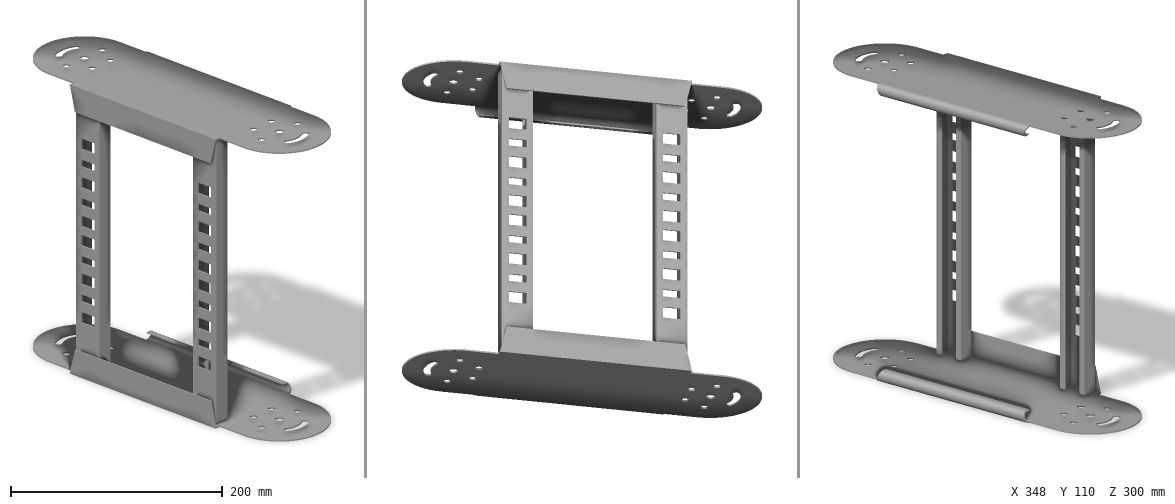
import cadquery as cq
import math

OVERALL_LENGTH = 348.0
OVERALL_HEIGHT = 300.0
SHEET = 1.5

PLATE_WIDTH = 98.0
FLANGE_REACH = 6.0
FLANGE_HEIGHT = 26.8
FLANGE_HALF_ROOT = 93.5
FLANGE_HALF_TIP = 87.0
HOOK_RADIUS = 6.0
HOOK_TAIL = 3.5
HOOK_HALF_ROOT = 92.0
HOOK_HALF_TIP = 87.0

PATTERN_X = 125.3
PATTERN_RADIUS = 25.0
PATTERN_ANGLE = 30.0
CENTRE_HOLE_DIAMETER = 8.5
SMALL_HOLE_DIAMETER = 7.0
ARC_SLOT_WIDTH = 7.0

POST_X = 75.0
POST_WIDTH = 30.3
POST_DEPTH = 15.5
POST_LIP = 6.3
POST_FRONT_Y = -50.0
POST_END_GAP = 3.5

WINDOW_COUNT = 10
WINDOW_SPAN = 180.0
WINDOW_WIDTH = 17.0
TALL_WINDOW = 11.0
SHORT_WINDOW = 7.3
WINDOW_SHIFT = 0.5

TOP_Z = OVERALL_HEIGHT / 2
EDGE_Y = PLATE_WIDTH / 2
FLANGE_Y = -EDGE_Y - FLANGE_REACH
POST_HEIGHT = OVERALL_HEIGHT - 2 * POST_END_GAP
WINDOW_PITCH = WINDOW_SPAN / (WINDOW_COUNT - 1)


def flat_plate():
    """Plate with rounded ends and a straight tab that carries the flange."""
    base = cq.Workplane("XY", origin=(0, 0, TOP_Z - SHEET))
    plate = base.slot2D(OVERALL_LENGTH, PLATE_WIDTH).extrude(SHEET)
    tab = cq.Workplane("XY").box(2 * FLANGE_HALF_ROOT, -FLANGE_Y, SHEET, centered=(True, False, False))
    return plate.union(tab.translate((0, FLANGE_Y, TOP_Z - SHEET)))


def flange():
    """Trapezoidal flange hanging from the tab."""
    bottom_z = TOP_Z - FLANGE_HEIGHT
    outline = [
        (-FLANGE_HALF_ROOT, TOP_Z),
        (FLANGE_HALF_ROOT, TOP_Z),
        (FLANGE_HALF_TIP, bottom_z),
        (-FLANGE_HALF_TIP, bottom_z),
    ]
    return cq.Workplane("XZ", origin=(0, FLANGE_Y, 0)).polyline(outline).close().extrude(-SHEET)


def hook():
    """Edge rolled down through a half turn, its ends tapering towards the lip."""
    inner_radius = HOOK_RADIUS - SHEET
    centre_z = TOP_Z - HOOK_RADIUS
    tail_y = EDGE_Y - HOOK_TAIL
    rolled = (
        cq.Workplane("YZ", origin=(-HOOK_HALF_ROOT, 0, 0))
        .moveTo(EDGE_Y, TOP_Z)
        .threePointArc((EDGE_Y + HOOK_RADIUS, centre_z), (EDGE_Y, centre_z - HOOK_RADIUS))
        .lineTo(tail_y, centre_z - HOOK_RADIUS)
        .lineTo(tail_y, centre_z - inner_radius)
        .lineTo(EDGE_Y, centre_z - inner_radius)
        .threePointArc((EDGE_Y + inner_radius, centre_z), (EDGE_Y, centre_z + inner_radius))
        .close()
        .extrude(2 * HOOK_HALF_ROOT)
    )
    bottom_z = TOP_Z - 2 * HOOK_RADIUS
    envelope = (
        cq.Workplane("XZ", origin=(0, tail_y, 0))
        .polyline([
            (-HOOK_HALF_ROOT, TOP_Z),
            (HOOK_HALF_ROOT, TOP_Z),
            (HOOK_HALF_TIP, bottom_z),
            (-HOOK_HALF_TIP, bottom_z),
        ])
        .close()
        .extrude(-HOOK_TAIL - HOOK_RADIUS)
    )
    return rolled.intersect(envelope)


def pattern_point(radius, angle):
    """Point of the hole pattern, the angle measured from the direction of the plate's middle."""
    return (
        -PATTERN_X + radius * math.cos(math.radians(angle)),
        radius * math.sin(math.radians(angle)),
    )


def hole_pattern():
    """Cutters for the pivot hole, four small holes and the arc slot at the -X end."""
    base = cq.Workplane("XY", origin=(0, 0, TOP_Z - SHEET))
    centre_hole = base.center(-PATTERN_X, 0).circle(CENTRE_HOLE_DIAMETER / 2).extrude(SHEET)
    hole_angles = (-90, -PATTERN_ANGLE, PATTERN_ANGLE, 90)
    small_holes = (
        base.pushPoints([pattern_point(PATTERN_RADIUS, angle) for angle in hole_angles])
        .circle(SMALL_HOLE_DIAMETER / 2)
        .extrude(SHEET)
    )
    outer = PATTERN_RADIUS + ARC_SLOT_WIDTH / 2
    inner = PATTERN_RADIUS - ARC_SLOT_WIDTH / 2
    start = 180 - PATTERN_ANGLE
    end = 180 + PATTERN_ANGLE
    band = (
        base.moveTo(*pattern_point(outer, start))
        .threePointArc(pattern_point(outer, 180), pattern_point(outer, end))
        .lineTo(*pattern_point(inner, end))
        .threePointArc(pattern_point(inner, 180), pattern_point(inner, start))
        .close()
        .extrude(SHEET)
    )
    slot_ends = (
        base.pushPoints([pattern_point(PATTERN_RADIUS, angle) for angle in (start, end)])
        .circle(ARC_SLOT_WIDTH / 2)
        .extrude(SHEET)
    )
    return centre_hole.union(small_holes).union(band).union(slot_ends)


def end_plate():
    """Top end plate; the bottom one is its mirror image."""
    holes = hole_pattern()
    return flat_plate().union(flange()).union(hook()).cut(holes).cut(holes.mirror("YZ"))


def post(side):
    """C channel post on one side of the frame: -1 for the -X side, 1 for the +X side."""
    base = cq.Workplane("XY", origin=(side * POST_X, POST_FRONT_Y, -POST_HEIGHT / 2))
    low_corner = (True, False, False)
    channel = base.box(POST_WIDTH, POST_DEPTH, POST_HEIGHT, centered=low_corner)
    cavity = base.center(0, SHEET).box(
        POST_WIDTH - 2 * SHEET, POST_DEPTH - 2 * SHEET, POST_HEIGHT, centered=low_corner, combine=False
    )
    opening = base.center(0, POST_DEPTH - SHEET).box(
        POST_WIDTH - 2 * POST_LIP, SHEET, POST_HEIGHT, centered=low_corner, combine=False
    )
    channel = channel.cut(cavity).cut(opening)

    window_x = side * (POST_X - WINDOW_SHIFT)
    for index in range(WINDOW_COUNT):
        offset = index - (WINDOW_COUNT - 1) / 2
        from_end = min(index, WINDOW_COUNT - 1 - index)
        height = TALL_WINDOW if from_end % 2 == 0 else SHORT_WINDOW
        window = cq.Workplane("XY").box(WINDOW_WIDTH, SHEET, height, centered=(True, False, True))
        channel = channel.cut(window.translate((window_x, POST_FRONT_Y, offset * WINDOW_PITCH)))
    return channel


top_plate = end_plate()
bottom_plate = top_plate.mirror("XY")
posts = [post(side) for side in (-1, 1)]

result = cq.Compound.makeCompound([
    top_plate.val(),
    bottom_plate.val(),
    *[channel.val() for channel in posts],
])